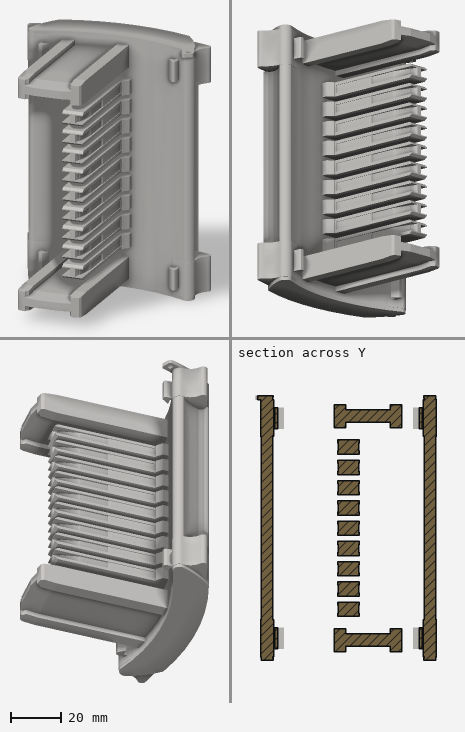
import cadquery as cq
import math

OVERLAP = 1.0

BODY_HEIGHT = 105.95
OUTER_RADIUS = 87.0
INNER_RADIUS = 76.0
WALL_THICKNESS = 14.25
SHOULDER_X = 27.9
END_X = 35.45
END_Y = -18.0
END_BULGE = (32.45, -11.1)
CORNER_MIDDLE = (34.55, -20.85)
INNER_EDGE_X = 32.4

LUG_THICKNESS = 1.65
LUG_ROOT = [(30.0, -18.0), (33.5, -15.0)]
LUG_NECK = (36.75, -21.8)
LUG_OUTER_CORNER = [(37.1, -23.2), (37.1, -24.1), (36.6, -24.7)]
LUG_TIP_CORNER = [(34.3, -26.1), (33.4, -26.2), (32.8, -25.6)]
LUG_FILLET_START = (31.3, -21.3)
LUG_FILLET_MIDDLE = (30.9, -20.6)
LUG_FILLET_END_X = 30.2
LUG_HOLE_CENTER = (34.85, -23.45)
LUG_HOLE_DIAMETER = 2.1

CLIP_Z_MIN = 36.6
CLIP_Z_MAX = 51.5
CLIP_TIP_X = 39.275
CLIP_CORNER = (35.7, -18.8)
CLIP_ROOT = (29.0, -6.2)
CLIP_TIP_START = (38.1, -8.7)
CLIP_TIP_Y = -10.2
CLIP_TIP_END = (38.5, -11.8)
CLIP_FLANK = (36.35, -14.5)
CLIP_INNER_X = 26.5
CLIP_DEPTH_Y = -12.0
CLIP_SKIN = 0.15
HOOK_Z_MIN = 39.7
HOOK_Z_MAX = 48.3
HOOK_OUTLINE = [
    (29.7, -19.0),
    (29.6, -23.0),
    (29.2, -24.1),
    (27.8, -24.1),
    (25.8, -21.2),
    (28.4, -21.2),
    (27.9, -19.0),
]

LIP_X = 32.75
LIP_END_Y = -6.95
LIP_NOSE = (32.4, -6.3)
LIP_HEEL = (31.8, -7.2)
LIP_UNDERSIDE = (30.5, -8.0)
LIP_ROUND_X = 31.2
GROOVE_START = (30.1, -9.7)
GROOVE_MIDDLE = (32.0, -14.2)
STEP_INNER_X = 8.3
STEP_OUTER_X = 11.0
STEP_INNER_Y = -1.1
STEP_OUTER_Y = -1.8
STEP_LIMIT_X = 20.0

ROOT_Y = -9.0
ARM_CENTER_X = -7.83
ARM_CENTER_Z = 44.75
ARM_WIDTH = 27.15
ARM_HEIGHT = 9.4
ARM_END_HEIGHT = 7.9
ARM_END_Y = -69.5
ARM_TAPER_Y = -61.2
ARM_CORNER_Y = -66.5
ARM_CORNER_LENGTH = 1.2
ARM_CORNER_CUT = 0.6
ARM_TIP_FLAT = 11.5
FLANGE_WIDTH = 4.75
FLANGE_FLARE = 1.1
WEB_HEIGHT = 5.2
WEB_END_HEIGHT = 3.3

PIN_COUNT = 9
PIN_PITCH = 8.1
PIN_HEIGHT = 5.9
PIN_END_Y = -61.5
PIN_HALF_WIDTH = 4.4
PIN_BASE_HALF_WIDTH = 7.0
PIN_NECK_HALF_WIDTH = 4.9
PIN_BASE_Y = -16.9
PIN_FLANGE = 1.3
PIN_TIP_BEVEL = 1.2
PIN_TIP_INSET = 0.9
PIN_WEB = [
    (-19.5, 4.1),
    (-39.0, 4.1),
    (-39.0, 3.65),
    (-50.75, 3.65),
    (-58.6, 1.95),
    (-58.6, 1.7),
    (PIN_END_Y, 1.05),
]


def outer_y(x):
    """Y of the outer face at a given X."""
    return math.sqrt(OUTER_RADIUS**2 - x**2) - OUTER_RADIUS


def inner_y(x, proud=0.0):
    """Y of the inner face at a given X, or of a skin standing proud of it."""
    radius = INNER_RADIUS - proud
    return math.sqrt(radius**2 - x**2) - INNER_RADIUS - WALL_THICKNESS


def mirrored(point):
    return (-point[0], point[1])


def prism(outline, z_min, z_max):
    """Extrude a closed XY outline between two heights."""
    return outline.extrude(z_max - z_min).translate((0, 0, z_min))


def polygon(points):
    return cq.Workplane("XY").polyline(points).close()


def both_sides(solid):
    return solid.union(solid.mirror("YZ"))


def on_both_ends(solid):
    return solid.union(solid.mirror("XY"))


def wall():
    shoulder = (SHOULDER_X, outer_y(SHOULDER_X))
    end = (END_X, END_Y)
    inner_edge = (INNER_EDGE_X, inner_y(INNER_EDGE_X))
    outline = (
        cq.Workplane("XY")
        .moveTo(*mirrored(shoulder))
        .threePointArc((0, 0), shoulder)
        .threePointArc(END_BULGE, end)
        .threePointArc(CORNER_MIDDLE, inner_edge)
        .threePointArc((0, -WALL_THICKNESS), mirrored(inner_edge))
        .threePointArc(mirrored(CORNER_MIDDLE), mirrored(end))
        .threePointArc(mirrored(END_BULGE), mirrored(shoulder))
        .close()
    )
    return prism(outline, -BODY_HEIGHT / 2, BODY_HEIGHT / 2)


def lips():
    """Ridges that carry the outer face past the shoulders, between the clips."""
    middle_x = (SHOULDER_X + LIP_ROUND_X) / 2
    root_x = SHOULDER_X - OVERLAP
    outline = (
        cq.Workplane("XY")
        .moveTo(SHOULDER_X, outer_y(SHOULDER_X))
        .threePointArc((middle_x, outer_y(middle_x)), (LIP_ROUND_X, outer_y(LIP_ROUND_X)))
        .threePointArc(LIP_NOSE, (LIP_X, LIP_END_Y))
        .lineTo(*LIP_HEEL)
        .lineTo(*LIP_UNDERSIDE)
        .lineTo(*GROOVE_START)
        .lineTo(root_x, GROOVE_START[1])
        .close()
    )
    return both_sides(prism(outline, -CLIP_Z_MIN, CLIP_Z_MIN))


def end_grooves():
    """Material removed below the lips, leaving a concave end face between the clips."""
    outside_x = END_X + OVERLAP
    outline = (
        cq.Workplane("XY")
        .moveTo(*GROOVE_START)
        .threePointArc(GROOVE_MIDDLE, (END_X, END_Y))
        .lineTo(outside_x, END_Y)
        .lineTo(outside_x, LIP_HEEL[1])
        .lineTo(*LIP_HEEL)
        .lineTo(*LIP_UNDERSIDE)
        .close()
    )
    return both_sides(prism(outline, -CLIP_Z_MIN, CLIP_Z_MIN))


def outer_steps():
    """Material removed for two shallow steps on each side of the outer face."""
    outline = polygon([
        (STEP_INNER_X, OVERLAP),
        (STEP_INNER_X, STEP_INNER_Y),
        (STEP_OUTER_X, STEP_INNER_Y),
        (STEP_OUTER_X, STEP_OUTER_Y),
        (STEP_LIMIT_X, STEP_OUTER_Y),
        (STEP_LIMIT_X, OVERLAP),
    ])
    return both_sides(prism(outline, -CLIP_Z_MIN, CLIP_Z_MIN))


def lug():
    outline = (
        cq.Workplane("XY")
        .polyline([*LUG_ROOT, (END_X, END_Y), LUG_NECK, LUG_OUTER_CORNER[0]])
        .threePointArc(*LUG_OUTER_CORNER[1:])
        .lineTo(*LUG_TIP_CORNER[0])
        .threePointArc(*LUG_TIP_CORNER[1:])
        .lineTo(*LUG_FILLET_START)
        .threePointArc(LUG_FILLET_MIDDLE, (LUG_FILLET_END_X, inner_y(LUG_FILLET_END_X)))
        .close()
    )
    plate = prism(outline, BODY_HEIGHT / 2 - LUG_THICKNESS, BODY_HEIGHT / 2)
    hole = cq.Workplane("XY").center(*LUG_HOLE_CENTER).circle(LUG_HOLE_DIAMETER / 2)
    return plate.cut(prism(hole, 0, BODY_HEIGHT))


def clips():
    """Wings outside the wall ends, a thin skin round each corner, and snap hooks."""
    skin_end = (INNER_EDGE_X, inner_y(INNER_EDGE_X, CLIP_SKIN))
    skin_middle_x = (CLIP_INNER_X + INNER_EDGE_X) / 2
    skin_middle = (skin_middle_x, inner_y(skin_middle_x, CLIP_SKIN))
    skin_start = (CLIP_INNER_X, inner_y(CLIP_INNER_X, CLIP_SKIN))
    wing = (
        cq.Workplane("XY")
        .moveTo(*CLIP_ROOT)
        .lineTo(*CLIP_TIP_START)
        .threePointArc((CLIP_TIP_X, CLIP_TIP_Y), CLIP_TIP_END)
        .threePointArc(CLIP_FLANK, CLIP_CORNER)
        .threePointArc((CORNER_MIDDLE[0] + CLIP_SKIN, CORNER_MIDDLE[1] - CLIP_SKIN), skin_end)
        .threePointArc(skin_middle, skin_start)
        .lineTo(CLIP_INNER_X, CLIP_DEPTH_Y)
        .close()
    )
    clip = prism(wing, CLIP_Z_MIN, CLIP_Z_MAX)
    clip = clip.union(prism(polygon(HOOK_OUTLINE), HOOK_Z_MIN, HOOK_Z_MAX))
    return on_both_ends(both_sides(clip))


def tapered_side(height, end_height):
    """Slab across X, in side profile thinner towards the arm's free end."""
    return (
        cq.Workplane("YZ")
        .moveTo(ROOT_Y, height / 2)
        .lineTo(ARM_TAPER_Y, height / 2)
        .lineTo(ARM_END_Y, end_height / 2)
        .lineTo(ARM_END_Y, -end_height / 2)
        .lineTo(ARM_TAPER_Y, -height / 2)
        .lineTo(ROOT_Y, -height / 2)
        .close()
        .extrude(ARM_WIDTH / 2, both=True)
    )


def arm():
    """I-section arm, centered on X = 0 and Z = 0."""
    half_width = ARM_WIDTH / 2
    web_edge = half_width - FLANGE_WIDTH
    bevel_x = half_width - ARM_CORNER_CUT
    plan = polygon([
        (half_width, ROOT_Y),
        (half_width, ARM_CORNER_Y),
        (bevel_x, ARM_CORNER_Y - ARM_CORNER_LENGTH),
        (ARM_TIP_FLAT / 2, ARM_END_Y),
        (-ARM_TIP_FLAT / 2, ARM_END_Y),
        (-bevel_x, ARM_CORNER_Y - ARM_CORNER_LENGTH),
        (-half_width, ARM_CORNER_Y),
        (-half_width, ROOT_Y),
    ])
    flange = polygon([
        (web_edge, ROOT_Y),
        (web_edge, ARM_CORNER_Y),
        (web_edge + FLANGE_FLARE, ARM_CORNER_Y - FLANGE_FLARE),
        (web_edge + FLANGE_FLARE, ARM_END_Y),
        (half_width, ARM_END_Y),
        (half_width, ROOT_Y),
    ])
    flanges = both_sides(prism(flange, -ARM_HEIGHT / 2, ARM_HEIGHT / 2))
    flanges = flanges.intersect(tapered_side(ARM_HEIGHT, ARM_END_HEIGHT))
    section = flanges.union(tapered_side(WEB_HEIGHT, WEB_END_HEIGHT))
    return section.intersect(prism(plan, -ARM_HEIGHT / 2, ARM_HEIGHT / 2))


def pin():
    """One pin, centered on Z = 0: a wide base, then two flanges on a narrowing web."""
    half_height = PIN_HEIGHT / 2
    base_end_y = PIN_BASE_Y - (PIN_BASE_HALF_WIDTH - PIN_NECK_HALF_WIDTH)
    base = both_sides(prism(
        polygon([
            (0, ROOT_Y),
            (PIN_BASE_HALF_WIDTH, ROOT_Y),
            (PIN_BASE_HALF_WIDTH, PIN_BASE_Y),
            (PIN_NECK_HALF_WIDTH, base_end_y),
            (0, base_end_y),
        ]),
        -half_height,
        half_height,
    ))
    length = ROOT_Y - PIN_END_Y
    bar = (
        cq.Workplane("XY")
        .box(2 * PIN_HALF_WIDTH, length, PIN_HEIGHT)
        .translate((0, ROOT_Y - length / 2, 0))
        .faces("<Y")
        .edges("|X")
        .chamfer(PIN_TIP_INSET, PIN_TIP_BEVEL)
    )
    side_recess = polygon(
        [(half_width, y) for y, half_width in PIN_WEB]
        + [(PIN_BASE_HALF_WIDTH, PIN_END_Y), (PIN_BASE_HALF_WIDTH, PIN_WEB[0][0])]
    )
    web_half_height = half_height - PIN_FLANGE
    bar = bar.cut(both_sides(prism(side_recess, -web_half_height, web_half_height)))
    return base.union(bar)


result = wall().cut(outer_steps()).union(lips()).cut(end_grooves()).union(lug())
result = result.union(clips())

result = result.union(on_both_ends(arm().translate((ARM_CENTER_X, 0, ARM_CENTER_Z))))
single_pin = pin()
for index in range(PIN_COUNT):
    pin_z = (index - (PIN_COUNT - 1) / 2) * PIN_PITCH
    result = result.union(single_pin.translate((0, 0, pin_z)))